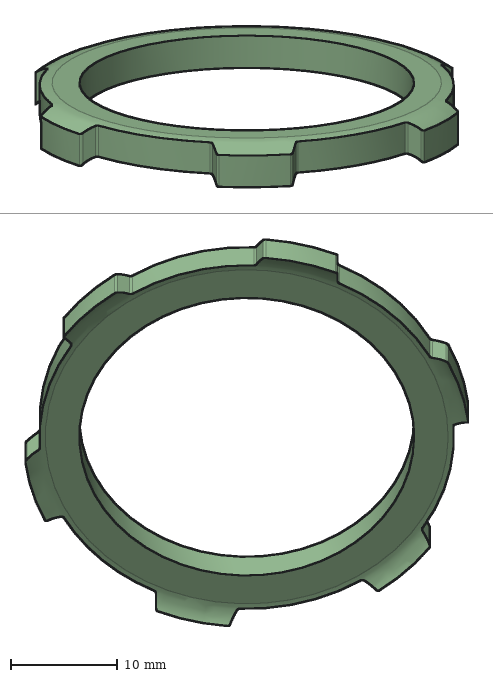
import cadquery as cq
import math

height = 4.05
bore_diameter = 31.5
bore_radius = bore_diameter / 2
tip_radius = 20.95
rim_radius = 19.5
top_flat_radius = 18.33
bottom_flat_radius = 18.95
top_curve_radius = 4.2
bottom_curve_radius = 2.73

tooth_count = 6
tooth_tip_half_width = 3.55
tooth_flank_angle = 14.0
corner_fillet = 0.3
seam_margin = 0.4


def arc_drop(radius, reach):
    """Height lost along an arc that leaves a flat face tangentially."""
    return radius - math.sqrt(radius**2 - reach**2)


def ring_body():
    """Revolved washer whose outer edge curls downwards to the tooth tips."""
    top_reach = tip_radius - top_flat_radius
    bottom_reach = tip_radius - bottom_flat_radius
    tip_top = height - arc_drop(top_curve_radius, top_reach)
    flat_bottom = arc_drop(bottom_curve_radius, bottom_reach)
    top_middle = (
        top_flat_radius + top_reach / 2,
        height - arc_drop(top_curve_radius, top_reach / 2),
    )
    bottom_middle = (
        bottom_flat_radius + bottom_reach / 2,
        flat_bottom - arc_drop(bottom_curve_radius, bottom_reach / 2),
    )
    profile = (
        cq.Workplane("XZ")
        .moveTo(bore_radius, flat_bottom)
        .lineTo(bottom_flat_radius, flat_bottom)
        .threePointArc(bottom_middle, (tip_radius, 0))
        .lineTo(tip_radius, tip_top)
        .threePointArc(top_middle, (top_flat_radius, height))
        .lineTo(bore_radius, height)
        .close()
    )
    return profile.revolve(360, (0, 0), (0, 1))


def tooth_blank(angle):
    """Tapered prism for one tooth, rounded at its tip by the tip circle."""
    flank_slope = math.tan(math.radians(tooth_flank_angle))
    outer_half_width = tooth_tip_half_width
    inner_half_width = outer_half_width + (tip_radius - bore_radius) * flank_slope
    tip_corner_y = math.sqrt(tip_radius**2 - outer_half_width**2)
    blank = (
        cq.Workplane("XY")
        .moveTo(-inner_half_width, bore_radius)
        .lineTo(-outer_half_width, tip_corner_y)
        .threePointArc((0, tip_radius), (outer_half_width, tip_corner_y))
        .lineTo(inner_half_width, bore_radius)
        .close()
        .extrude(height)
    )
    return blank.rotate((0, 0, 0), (0, 0, 1), angle)


def toothed_outline():
    """Full-height disc with teeth, all outline corners rounded."""
    outline = cq.Workplane("XY").circle(rim_radius).extrude(height)
    for index in range(tooth_count):
        outline = outline.union(tooth_blank(index * 360 / tooth_count))
    seam = cq.selectors.BoxSelector(
        (rim_radius - seam_margin, -seam_margin, -seam_margin),
        (rim_radius + seam_margin, seam_margin, height + seam_margin),
    )
    corners = outline.edges("|Z").edges(cq.selectors.InverseSelector(seam))
    return corners.fillet(corner_fillet)


result = ring_body().intersect(toothed_outline())